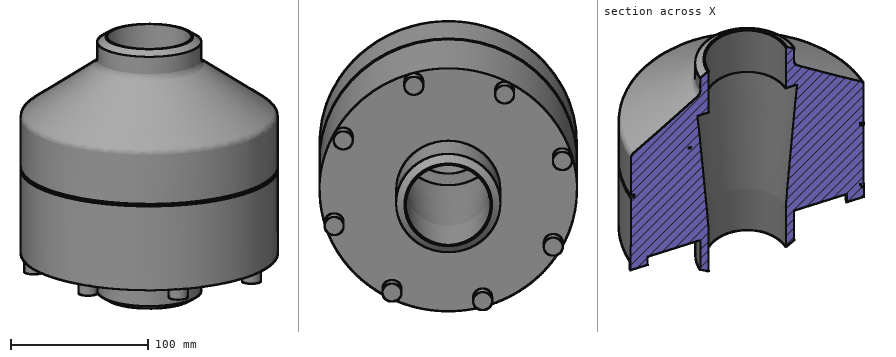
import cadquery as cq
import math

total_height = 198.0
body_diameter = 188.0
lower_body_bottom = 33.0

groove_diameter = 182.0
groove_bottom = 97.0
groove_width = 2.0

shoulder_corner_height = 139.0
cone_slope_angle = math.radians(35)
cone_fillet_radius = 5.0

pipe_diameter = 76.1
bore_diameter = 61.9
land_width = 1.0
bevel_height = 3.9

chamber_depth = 41.0
chamber_top_diameter = 80.0

bolt_count = 8
bolt_diameter = 14.0
bolt_length = 8.0

body_radius = body_diameter / 2
groove_radius = groove_diameter / 2
groove_top = groove_bottom + groove_width
pipe_radius = pipe_diameter / 2
bore_radius = bore_diameter / 2
bevel_radius = bore_radius + land_width
neck_corner_height = shoulder_corner_height + (body_radius - pipe_radius) * math.tan(cone_slope_angle)
chamber_bottom = chamber_depth
chamber_top = total_height - chamber_depth
chamber_radius = chamber_top_diameter / 2
bolt_circle_radius = body_radius - bolt_diameter / 2


def height_band(height):
    """Selector for the circular edge lying at this height; its centre is on the Z axis."""
    reach = 0.1
    return cq.selectors.BoxSelector((-reach, -reach, height - reach), (reach, reach, height + reach))


def make_housing():
    """Revolved outer shape: bevelled pipe ends, grooved body and conical top with rounded corners."""
    profile = (
        cq.Workplane("XZ")
        .lineTo(bevel_radius, 0)
        .lineTo(pipe_radius, bevel_height)
        .lineTo(pipe_radius, lower_body_bottom)
        .lineTo(body_radius, lower_body_bottom)
        .lineTo(body_radius, groove_bottom)
        .lineTo(groove_radius, groove_bottom)
        .lineTo(groove_radius, groove_top)
        .lineTo(body_radius, groove_top)
        .lineTo(body_radius, shoulder_corner_height)
        .lineTo(pipe_radius, neck_corner_height)
        .lineTo(pipe_radius, total_height - bevel_height)
        .lineTo(bevel_radius, total_height)
        .lineTo(0, total_height)
        .close()
    )
    housing = profile.revolve(360, (0, 0, 0), (0, 1, 0))
    for height in (shoulder_corner_height, neck_corner_height):
        housing = housing.edges(height_band(height)).fillet(cone_fillet_radius)
    return housing


def make_bolts():
    """Ring of bolt heads hanging from the underside of the lower body."""
    return (
        cq.Workplane("XY")
        .workplane(offset=lower_body_bottom - bolt_length)
        .polarArray(bolt_circle_radius, 0, 360, bolt_count)
        .circle(bolt_diameter / 2)
        .extrude(bolt_length)
    )


def make_passage():
    """Bore through the whole part, with a stepped chamber that tapers back to the bore below."""
    profile = (
        cq.Workplane("XZ")
        .lineTo(bore_radius, 0)
        .lineTo(bore_radius, chamber_bottom)
        .lineTo(chamber_radius, chamber_top)
        .lineTo(bore_radius, chamber_top)
        .lineTo(bore_radius, total_height)
        .lineTo(0, total_height)
        .close()
    )
    return profile.revolve(360, (0, 0, 0), (0, 1, 0))


result = make_housing().union(make_bolts()).cut(make_passage())